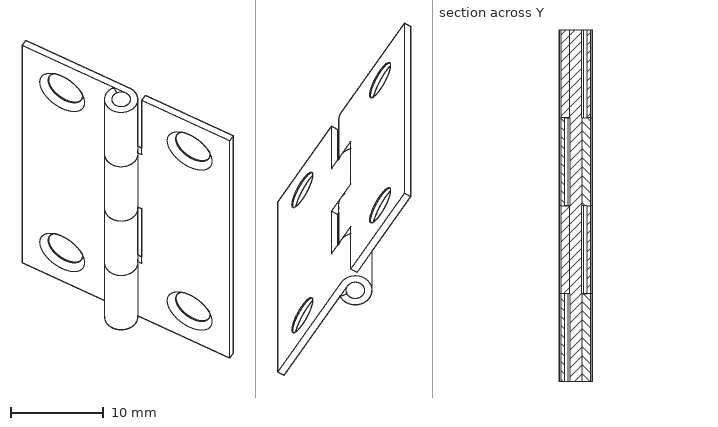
import cadquery as cq
import math

height = 38.0
width = 26.0
thickness = 0.8
knuckle_diameter = 3.6
knuckle_count = 4
notch_half_width = 1.98
curl_end_angle = 147.0
hole_diameter = 4.3
countersink_diameter = 5.62
countersink_angle = 90.0
hole_offset_x = 7.98
hole_offset_z = 14.0

knuckle_radius = knuckle_diameter / 2
pin_radius = knuckle_radius - thickness
knuckle_height = height / knuckle_count
plate_front = pin_radius


def make_plate():
    """Flat left-hand plate, reaching in to the edge of the clearance notches."""
    plate_width = width / 2 - notch_half_width
    return cq.Workplane("XY").box(plate_width, thickness, height, centered=False).translate(
        (-width / 2, plate_front, -height / 2)
    )


def make_knuckle(level):
    """Strip running from the plate and rolled clockwise around the pin."""
    end = math.radians(curl_end_angle)
    end_x = math.cos(end)
    end_y = math.sin(end)
    return (
        cq.Workplane("XY", origin=(0, 0, -height / 2 + level * knuckle_height))
        .moveTo(-notch_half_width, knuckle_radius)
        .lineTo(0, knuckle_radius)
        .threePointArc((0, -knuckle_radius), (knuckle_radius * end_x, knuckle_radius * end_y))
        .lineTo(pin_radius * end_x, pin_radius * end_y)
        .threePointArc((0, -pin_radius), (0, pin_radius))
        .lineTo(-notch_half_width, pin_radius)
        .close()
        .extrude(knuckle_height)
    )


def cut_screw_holes(leaf):
    """Two holes, countersunk on the knuckle side down to a thin cylindrical land."""
    return (
        leaf.copyWorkplane(cq.Workplane("XZ", origin=(0, plate_front, 0)))
        .pushPoints([(-hole_offset_x, -hole_offset_z), (-hole_offset_x, hole_offset_z)])
        .cskHole(hole_diameter, countersink_diameter, countersink_angle)
    )


def make_leaf(levels):
    """Left-hand leaf with knuckles at the given levels, counted from the bottom."""
    leaf = make_plate()
    for level in levels:
        leaf = leaf.union(make_knuckle(level))
    return cut_screw_holes(leaf)


def make_pin():
    """Plain pin filling the full length of the knuckles."""
    return cq.Workplane("XY").circle(pin_radius).extrude(height / 2, both=True)


left_leaf = make_leaf(range(1, knuckle_count, 2))
right_leaf = make_leaf(range(0, knuckle_count, 2)).mirror("YZ")
pin = make_pin()

result = cq.Compound.makeCompound([left_leaf.val(), right_leaf.val(), pin.val()])